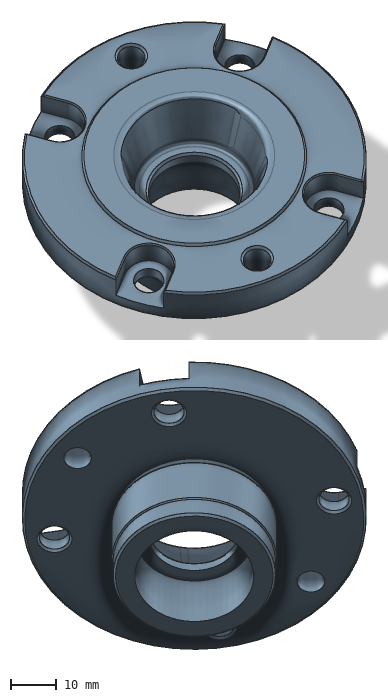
import cadquery as cq
import math

TOTAL_HEIGHT = 29.0
FLANGE_TOP = 28.4
SLOT_FLOOR = 22.5
FLANGE_BOTTOM = 19.0
NECK_BOTTOM = 17.55
PILOT_TOP = 5.0
BOWL_FLOOR = 16.5
COUNTERBORE_TOP = 13.65

FLANGE_RADIUS = 37.5
BOSS_RADIUS = 24.5
NECK_RADIUS = 17.5
SLEEVE_RADIUS = 18.0
PILOT_RADIUS = 17.7

FLANGE_TOP_CHAMFER = 0.45
FLANGE_BOTTOM_CHAMFER = 0.5
BOSS_TAPER = 0.45
SLEEVE_CHAMFER = 0.45
PILOT_CHAMFER = 0.5
BORE_CHAMFER = 0.5
PIN_HOLE_CHAMFER = 0.5
SCREW_HOLE_CHAMFER = 0.5
SLOT_CHAMFER = 0.3

BORE_RADIUS = 10.0
COUNTERBORE_RADIUS = 13.0
MOUTH_RADIUS = 17.55
MOUTH_ROUND = 2.0
BOWL_TOP_RADIUS = 16.05
BOWL_BASE_RADIUS = 13.05
BOWL_BASE_ROUND = 1.05
BOWL_CONE_BOTTOM = 18.1

PAD_CONE_BOTTOM = 18.6
PAD_FACE_HALF_ANGLE = 23.0
PAD_FOOT_HALF_ANGLE = 29.6

HOLE_CIRCLE_RADIUS = 31.0
SCREW_HOLE_RADIUS = 3.3
SCREW_ANGLES = (45, 135, 225, 315)
SLOT_RADIUS = 5.5
PIN_HOLE_RADIUS = 3.0
PIN_ANGLES = (0, 180)

MOUTH_ARC_HEIGHT = TOTAL_HEIGHT - MOUTH_ROUND
pad_run = MOUTH_RADIUS - BOWL_BASE_RADIUS
pad_rise = MOUTH_ARC_HEIGHT - PAD_CONE_BOTTOM
PAD_TILT = math.atan2(pad_run, pad_rise) - math.asin(MOUTH_ROUND / math.hypot(pad_run, pad_rise))

mouth_arc_offset = MOUTH_RADIUS - BOWL_TOP_RADIUS
BOWL_CONE_TOP = MOUTH_ARC_HEIGHT + math.sqrt(MOUTH_ROUND**2 - mouth_arc_offset**2)
BOWL_SLOPE = (BOWL_TOP_RADIUS - BOWL_BASE_RADIUS) / (BOWL_CONE_TOP - BOWL_CONE_BOTTOM)


def turned(outline):
    """Revolve a closed (radius, height) outline about Z."""
    return outline.close().revolve(360, (0, 0), (0, 1))


def cylinder(radius, bottom, top):
    return cq.Workplane("XY", origin=(0, 0, bottom)).circle(radius).extrude(top - bottom)


def countersink(radius, chamfer, top):
    """Cone that breaks the upper edge of a hole by a 45 degree chamfer."""
    outline = cq.Workplane("YZ").polyline(
        [(0, top - chamfer), (radius, top - chamfer), (radius + chamfer, top), (0, top)]
    )
    return turned(outline)


def at_hole_circle(shape, angle):
    """Move a shape from the Z axis out along X, then turn it about Z."""
    return shape.translate((HOLE_CIRCLE_RADIUS, 0, 0)).rotate((0, 0, 0), (0, 0, 1), angle)


def turned_body():
    """Flange, boss, neck, sleeve and pilot as one solid of revolution."""
    pilot_step = SLEEVE_RADIUS - PILOT_RADIUS
    outline = cq.Workplane("YZ").polyline(
        [
            (0, 0),
            (PILOT_RADIUS - PILOT_CHAMFER, 0),
            (PILOT_RADIUS, PILOT_CHAMFER),
            (PILOT_RADIUS, PILOT_TOP),
            (SLEEVE_RADIUS, PILOT_TOP + pilot_step),
            (SLEEVE_RADIUS, NECK_BOTTOM - SLEEVE_CHAMFER),
            (SLEEVE_RADIUS - SLEEVE_CHAMFER, NECK_BOTTOM),
            (NECK_RADIUS, NECK_BOTTOM),
            (NECK_RADIUS, FLANGE_BOTTOM),
            (FLANGE_RADIUS - FLANGE_BOTTOM_CHAMFER, FLANGE_BOTTOM),
            (FLANGE_RADIUS, FLANGE_BOTTOM + FLANGE_BOTTOM_CHAMFER),
            (FLANGE_RADIUS, FLANGE_TOP - FLANGE_TOP_CHAMFER),
            (FLANGE_RADIUS - FLANGE_TOP_CHAMFER, FLANGE_TOP),
            (BOSS_RADIUS, FLANGE_TOP),
            (BOSS_RADIUS - BOSS_TAPER, TOTAL_HEIGHT),
            (0, TOTAL_HEIGHT),
        ]
    )
    return turned(outline)


def pad_level_hollow():
    """Hollow bounded by the rounded base, the pad faces and the rounded mouth."""
    floor_radius = BOWL_BASE_RADIUS - BOWL_BASE_ROUND
    base_arc_height = BOWL_FLOOR + BOWL_BASE_ROUND
    base_reach = BOWL_BASE_ROUND * math.sqrt(0.5)
    base_middle = (floor_radius + base_reach, base_arc_height - base_reach)

    def on_mouth_arc(angle):
        return (
            MOUTH_RADIUS - MOUTH_ROUND * math.cos(angle),
            MOUTH_ARC_HEIGHT + MOUTH_ROUND * math.sin(angle),
        )

    outline = (
        cq.Workplane("YZ")
        .moveTo(0, BOWL_FLOOR)
        .lineTo(floor_radius, BOWL_FLOOR)
        .threePointArc(base_middle, (BOWL_BASE_RADIUS, base_arc_height))
        .lineTo(BOWL_BASE_RADIUS, PAD_CONE_BOTTOM)
        .lineTo(*on_mouth_arc(PAD_TILT))
        .threePointArc(on_mouth_arc((PAD_TILT + math.pi / 2) / 2), (MOUTH_RADIUS, TOTAL_HEIGHT))
        .lineTo(0, TOTAL_HEIGHT)
    )
    return turned(outline)


def bowl_cone():
    """Frustum of the deeper bowl wall between the pads."""
    outline = cq.Workplane("YZ").polyline(
        [
            (0, BOWL_CONE_BOTTOM),
            (BOWL_BASE_RADIUS, BOWL_CONE_BOTTOM),
            (BOWL_TOP_RADIUS, BOWL_CONE_TOP),
            (0, BOWL_CONE_TOP),
        ]
    )
    return turned(outline)


def pad_wedge():
    """Wedge on +Y whose slanting flanks join the pad face to the bowl wall."""

    def section(height):
        pad_radius = BOWL_BASE_RADIUS + (height - PAD_CONE_BOTTOM) * math.tan(PAD_TILT)
        bowl_radius = BOWL_BASE_RADIUS + (height - BOWL_CONE_BOTTOM) * BOWL_SLOPE
        right_side = [
            (pad_radius, PAD_FACE_HALF_ANGLE),
            (bowl_radius, PAD_FOOT_HALF_ANGLE),
            (BOSS_RADIUS, PAD_FOOT_HALF_ANGLE),
        ]
        left_side = [(radius, -angle) for radius, angle in reversed(right_side)]
        return [
            (radius * math.sin(math.radians(angle)), radius * math.cos(math.radians(angle)))
            for radius, angle in right_side + left_side
        ]

    return (
        cq.Workplane("XY", origin=(0, 0, BOWL_FLOOR))
        .polyline(section(BOWL_FLOOR))
        .close()
        .workplane(offset=TOTAL_HEIGHT - BOWL_FLOOR)
        .polyline(section(TOTAL_HEIGHT))
        .close()
        .loft(ruled=True)
    )


def bowl():
    wedge = pad_wedge()
    opposite_wedge = wedge.rotate((0, 0, 0), (0, 0, 1), 180)
    return bowl_cone().cut(wedge).cut(opposite_wedge).union(pad_level_hollow())


def bore():
    """Through bore, chamfered at the bowl floor and widened from below."""
    return (
        cylinder(BORE_RADIUS, 0, BOWL_FLOOR)
        .union(countersink(BORE_RADIUS, BORE_CHAMFER, BOWL_FLOOR))
        .union(cylinder(COUNTERBORE_RADIUS, 0, COUNTERBORE_TOP))
    )


def slot_outline(radius, height):
    """Round-ended outline at the given height, running outward along X."""
    return (
        cq.Workplane("XY", origin=(0, 0, height))
        .moveTo(0, radius)
        .threePointArc((-radius, 0), (0, -radius))
        .lineTo(FLANGE_RADIUS, -radius)
        .lineTo(FLANGE_RADIUS, radius)
        .close()
    )


def screw_slot():
    """Slot with its upper edge chamfered and a screw hole through its floor, chamfered below."""
    chamfer_bottom = FLANGE_TOP - SLOT_CHAMFER
    channel = slot_outline(SLOT_RADIUS, SLOT_FLOOR).extrude(FLANGE_TOP - SLOT_FLOOR)
    flare = slot_outline(SLOT_RADIUS, chamfer_bottom).extrude(SLOT_CHAMFER, taper=-45)
    screw_hole = cylinder(SCREW_HOLE_RADIUS, FLANGE_BOTTOM, SLOT_FLOOR)
    lower_countersink = countersink(SCREW_HOLE_RADIUS, SCREW_HOLE_CHAMFER, 0)
    lower_countersink = lower_countersink.mirror("XY").translate((0, 0, FLANGE_BOTTOM))
    return channel.union(flare).union(screw_hole).union(lower_countersink)


def pin_hole():
    return cylinder(PIN_HOLE_RADIUS, FLANGE_BOTTOM, FLANGE_TOP).union(
        countersink(PIN_HOLE_RADIUS, PIN_HOLE_CHAMFER, FLANGE_TOP)
    )


result = turned_body().cut(bowl()).cut(bore())
for screw_angle in SCREW_ANGLES:
    result = result.cut(at_hole_circle(screw_slot(), screw_angle))
for pin_angle in PIN_ANGLES:
    result = result.cut(at_hole_circle(pin_hole(), pin_angle))